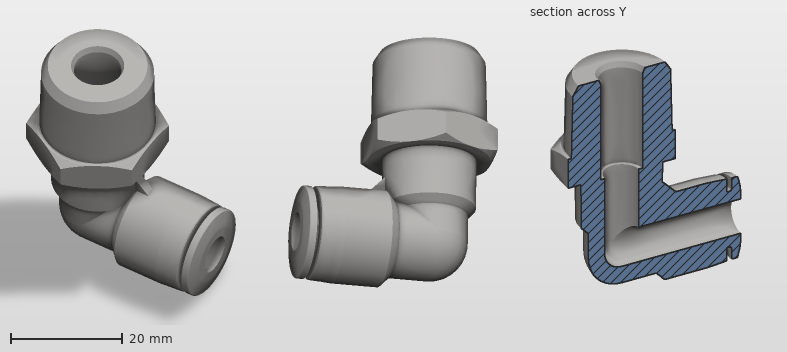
import cadquery as cq
import math

height = 44.75
port_radius = 17.5 / 2
port_z = port_radius
elbow_radius = 6.95

sleeve_radius = 17 / 2
sleeve_end_radius = 16.8 / 2
sleeve_cone_bottom = 13.85
sleeve_cone_top = 15.3
hex_bottom = 24.25
hex_top = 30.25
hex_flats = 22.2
hex_chamfer_angle = math.radians(30)
thread_root_radius = 20.95 / 2
thread_tip_radius = 20.3 / 2
thread_chamfer_z = 42.85
stem_face_radius = 8.95

shell_cone_start = 7.1
shell_start = 8.85
shell_taper_start = 17.5
shell_rim_start = 20.45
shell_end = 21.8
shell_edge_chamfer = 0.2
shell_rim_radius = 17.1 / 2
shell_end_radius = 16.9 / 2
neck_radius = 11.55 / 2
neck_fillet = 0.4
collar_start = 22.7
collar_dome_start = 24.05
collar_edge_fillet = 0.25
collar_dome_bulge = 0.1
collar_end = 24.6
collar_radius = 16.8 / 2
collar_face_radius = 5.35

rib_thickness = 1.8
rib_tip_x = 11.2

passage_radius = 7.0 / 2
socket_radius = 8.55 / 2
socket_mouth_radius = 9.55 / 2
socket_cone_depth = 1.07
socket_bottom = hex_bottom


def revolve_stem(radius_z_points):
    """Revolve an (R, Z) outline around the stem axis."""
    return cq.Workplane("XZ").polyline(radius_z_points).close().revolve(360, (0, 0), (0, 1))


def elbow(radius, stem_end, port_end):
    """Two round legs meeting at a ball on the crossing of the axes."""
    stem_leg = cq.Workplane("XY", origin=(0, 0, port_z)).circle(radius).extrude(stem_end - port_z)
    port_leg = cq.Workplane("YZ", origin=(0, 0, port_z)).circle(radius).extrude(port_end)
    ball = cq.Workplane("XY", origin=(0, 0, port_z)).sphere(radius)
    return stem_leg.union(port_leg).union(ball)


def stem():
    return revolve_stem([
        (0, sleeve_cone_bottom),
        (elbow_radius, sleeve_cone_bottom),
        (sleeve_end_radius, sleeve_cone_top),
        (sleeve_radius, hex_bottom),
        (thread_root_radius, hex_top),
        (thread_tip_radius, thread_chamfer_z),
        (stem_face_radius, height),
        (0, height),
    ])


def hexagon():
    """Hexagon with corners on Y, its corners turned down by a cone at both ends."""
    corner_diameter = hex_flats / math.cos(math.radians(30))
    prism = (
        cq.Workplane("XY", origin=(0, 0, hex_bottom))
        .transformed(rotate=(0, 0, 90))
        .polygon(6, corner_diameter)
        .extrude(hex_top - hex_bottom)
    )
    flat_radius = hex_flats / 2
    corner_radius = corner_diameter / 2
    drop = (corner_radius - flat_radius) * math.tan(hex_chamfer_angle)
    envelope = revolve_stem([
        (0, hex_bottom),
        (flat_radius, hex_bottom),
        (corner_radius, hex_bottom + drop),
        (corner_radius, hex_top - drop),
        (flat_radius, hex_top),
        (0, hex_top),
    ])
    return prism.intersect(envelope)


def port():
    """Shell, neck and domed release collar revolved around the port axis."""
    dome_outer_radius = collar_radius - collar_edge_fillet
    dome_mid_x = (collar_dome_start + collar_end) / 2 + collar_dome_bulge
    dome_mid_radius = (dome_outer_radius + collar_face_radius) / 2
    return (
        cq.Workplane("XZ", origin=(0, 0, port_z))
        .moveTo(shell_cone_start, 0)
        .lineTo(shell_cone_start, elbow_radius)
        .lineTo(shell_start, port_radius)
        .lineTo(shell_taper_start, port_radius)
        .lineTo(shell_rim_start, shell_rim_radius)
        .lineTo(shell_end - shell_edge_chamfer, shell_end_radius)
        .lineTo(shell_end, shell_end_radius - shell_edge_chamfer)
        .lineTo(shell_end, neck_radius)
        .lineTo(collar_start - neck_fillet, neck_radius)
        .radiusArc((collar_start, neck_radius + neck_fillet), -neck_fillet)
        .lineTo(collar_start, collar_radius)
        .lineTo(collar_dome_start - collar_edge_fillet, collar_radius)
        .radiusArc((collar_dome_start, dome_outer_radius), collar_edge_fillet)
        .threePointArc((dome_mid_x, dome_mid_radius), (collar_end, collar_face_radius))
        .lineTo(collar_end, 0)
        .close()
        .revolve(360, (0, 0), (1, 0))
    )


def rib():
    """Web with a 45 degree edge filling the corner between sleeve and shell."""
    shell_top = port_z + port_radius
    return (
        cq.Workplane("XZ")
        .moveTo(0, port_z)
        .lineTo(rib_tip_x, port_z)
        .lineTo(rib_tip_x, shell_top)
        .lineTo(0, shell_top + rib_tip_x)
        .close()
        .extrude(rib_thickness / 2, both=True)
    )


def passage():
    """Bent bore through both ends, with a wider socket in the stem face."""
    socket = revolve_stem([
        (0, socket_bottom),
        (socket_radius, socket_bottom),
        (socket_radius, height - socket_cone_depth),
        (socket_mouth_radius, height),
        (0, height),
    ])
    return elbow(passage_radius, height, collar_end).union(socket)


body = elbow(elbow_radius, sleeve_cone_bottom, shell_cone_start)
body = body.union(stem()).union(hexagon()).union(port()).union(rib())
result = body.cut(passage())